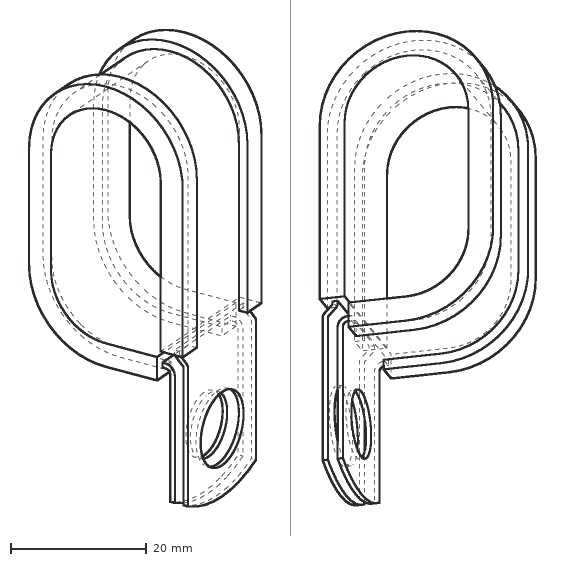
import cadquery as cq
import math

total_height = 68.1
loop_width = 26.8
bore_width = 19.1
straight_length = 19.1
cushion_width = 22.1
groove_width = 14.2
strap_thickness = 0.8
strap_width = 19.1
leg_end_z = 27.2
foot_end_x = 8.9
tab_gap = 1.5
tab_bend_radius = 1.2
jog_bend_radius = 0.6
jog_lead = 0.4
inner_hole_diameter = 10.3
outer_hole_diameter = 12.0
bolt_hole_z = 11.1
tab_end_rise = 2.2

outer_radius = loop_width / 2
inner_radius = bore_width / 2
strap_mid_radius = (outer_radius + inner_radius) / 2
strap_outer_radius = strap_mid_radius + strap_thickness / 2
upper_z = total_height - outer_radius
lower_z = upper_z - straight_length
foot_mid_z = lower_z - strap_mid_radius
outer_tab_x = outer_radius - strap_thickness / 2
inner_tab_x = outer_tab_x - strap_thickness - tab_gap


def loop_band(radius_out, radius_in, width):
    """Layer of the open loop between two radii, centred on Y = 0."""
    diagonal = math.sqrt(0.5)
    return (
        cq.Workplane("XZ")
        .moveTo(radius_out, leg_end_z)
        .lineTo(radius_out, upper_z)
        .threePointArc((0, upper_z + radius_out), (-radius_out, upper_z))
        .lineTo(-radius_out, lower_z)
        .threePointArc((-radius_out * diagonal, lower_z - radius_out * diagonal), (0, lower_z - radius_out))
        .lineTo(foot_end_x, lower_z - radius_out)
        .lineTo(foot_end_x, lower_z - radius_in)
        .lineTo(0, lower_z - radius_in)
        .threePointArc((-radius_in * diagonal, lower_z - radius_in * diagonal), (-radius_in, lower_z))
        .lineTo(-radius_in, upper_z)
        .threePointArc((0, upper_z + radius_in), (radius_in, upper_z))
        .lineTo(radius_in, leg_end_z)
        .close()
        .extrude(width / 2, both=True)
    )


def inner_tab():
    """Strap leaving the bottom leg, starting inside it and bending straight down."""
    path = (
        cq.Workplane("XZ")
        .moveTo(0, foot_mid_z)
        .lineTo(inner_tab_x - tab_bend_radius, foot_mid_z)
        .tangentArcPoint((inner_tab_x, foot_mid_z - tab_bend_radius), relative=False)
        .lineTo(inner_tab_x, 0)
    )
    section = cq.Workplane("YZ").center(0, foot_mid_z).rect(strap_width, strap_thickness)
    return section.sweep(path)


def outer_tab():
    """Strap leaving the right leg, starting inside it and jogging outwards at 45 degrees."""
    angle = math.radians(45)
    bend_dx = jog_bend_radius * (1 - math.cos(angle))
    bend_dz = jog_bend_radius * math.sin(angle)
    slant = outer_tab_x - strap_mid_radius - 2 * bend_dx
    jog_top_z = leg_end_z - jog_lead
    slant_top_z = jog_top_z - bend_dz
    slant_bottom_z = slant_top_z - slant
    path = (
        cq.Workplane("XZ")
        .moveTo(strap_mid_radius, upper_z)
        .lineTo(strap_mid_radius, jog_top_z)
        .tangentArcPoint((strap_mid_radius + bend_dx, slant_top_z), relative=False)
        .lineTo(outer_tab_x - bend_dx, slant_bottom_z)
        .tangentArcPoint((outer_tab_x, slant_bottom_z - bend_dz), relative=False)
        .lineTo(outer_tab_x, 0)
    )
    section = (
        cq.Workplane("XY", origin=(strap_mid_radius, 0, upper_z))
        .rect(strap_thickness, strap_width)
    )
    return section.sweep(path)


def tab_trim():
    """Outline across Y and Z that rounds the lower end of both tabs."""
    half_width = strap_width / 2
    return (
        cq.Workplane("YZ")
        .moveTo(-half_width, tab_end_rise)
        .threePointArc((0, 0), (half_width, tab_end_rise))
        .lineTo(half_width, total_height)
        .lineTo(-half_width, total_height)
        .close()
        .extrude(loop_width)
    )


def bolt_hole(diameter):
    """Cylinder along X at the bolt position."""
    return cq.Workplane("YZ").center(0, bolt_hole_z).circle(diameter / 2).extrude(loop_width)


cushion = loop_band(outer_radius, inner_radius, cushion_width)
groove = loop_band(outer_radius, strap_outer_radius, groove_width)
tabs = (
    inner_tab().cut(bolt_hole(inner_hole_diameter))
    .union(outer_tab().cut(bolt_hole(outer_hole_diameter)))
    .intersect(tab_trim())
)

result = cushion.cut(groove).union(tabs)